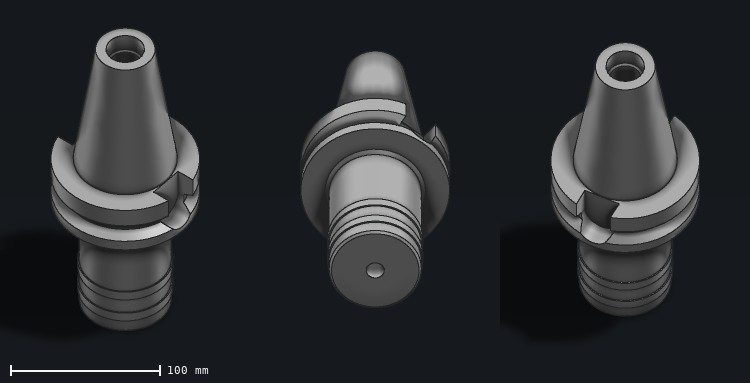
import cadquery as cq

total_height = 236.8

gauge_height = 135.0
gauge_diameter = 69.9
gauge_radius = gauge_diameter / 2
taper_ratio = 7 / 24
taper_top_radius = gauge_radius - (total_height - gauge_height) * taper_ratio / 2

flange_radius = 50.0
flange_top = 133.8
flange_bottom = 96.5
groove_floor_radius = 42.6
groove_top = 119.3
groove_bottom = 104.7
groove_wall_height = 4.0

body_radius = 31.0
neck_chamfer = 2.5
end_chamfer = 1.7

band_radius = 32.0
band_height = 7.3
band_bottoms = (11.5, 31.5)

mouth_radius = 12.8
mouth_depth = 13.3
step_radius = 10.5
step_depth = 45.0
through_diameter = 12.0

slot_width = 25.5
slot_face_distance = 35.3
slot_bottom = 100.9


def revolved_body():
    """Turned outer shape, from the bottom centre to the taper top."""
    outline = [
        (0, 0),
        (body_radius - end_chamfer, 0),
        (body_radius, end_chamfer),
        (body_radius, flange_bottom - neck_chamfer),
        (body_radius + neck_chamfer, flange_bottom),
        (flange_radius, flange_bottom),
        (flange_radius, groove_bottom),
        (groove_floor_radius, groove_bottom + groove_wall_height),
        (groove_floor_radius, groove_top - groove_wall_height),
        (flange_radius, groove_top),
        (flange_radius, flange_top),
        (gauge_radius, flange_top),
        (gauge_radius, gauge_height),
        (taper_top_radius, total_height),
        (0, total_height),
    ]
    return cq.Workplane("XZ").polyline(outline).close().revolve(360, (0, 0, 0), (0, 1, 0))


def cylinder(radius, bottom, height):
    """Upright cylinder on the part axis."""
    return cq.Workplane("XY").workplane(offset=bottom).circle(radius).extrude(height)


def drive_slot(side):
    """Round-bottomed slot cutter; side is +1 for +X and -1 for -X."""
    half_width = slot_width / 2
    arc_height = slot_bottom + half_width
    return (
        cq.Workplane("YZ", origin=(side * slot_face_distance, 0, 0))
        .moveTo(-half_width, flange_top)
        .lineTo(-half_width, arc_height)
        .threePointArc((0, slot_bottom), (half_width, arc_height))
        .lineTo(half_width, flange_top)
        .close()
        .extrude(side * flange_radius)
    )


result = revolved_body()

for band_bottom in band_bottoms:
    result = result.union(cylinder(band_radius, band_bottom, band_height))

for side in (-1, 1):
    result = result.cut(drive_slot(side))

result = result.cut(cylinder(through_diameter / 2, 0, total_height))
for radius, depth in ((mouth_radius, mouth_depth), (step_radius, step_depth)):
    result = result.cut(cylinder(radius, total_height - depth, depth))